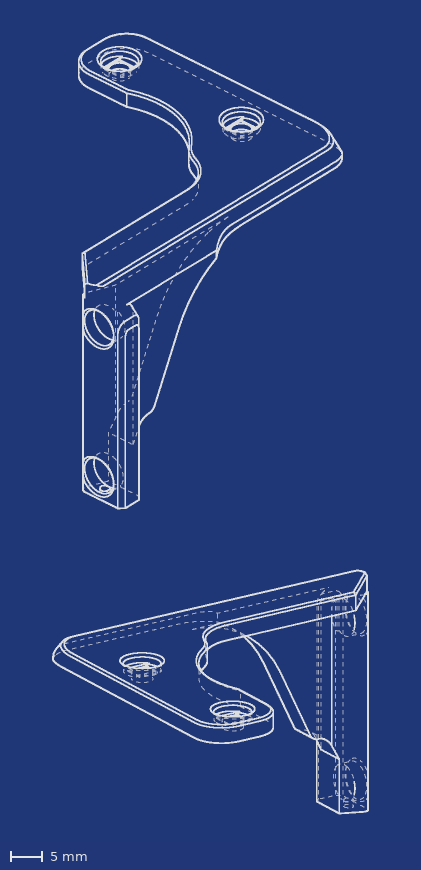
import cadquery as cq
import math

length = 59
width = 52.9
height = 39.7

plate_thickness = 3.0
plate_bottom = height - plate_thickness
top_chamfer = 0.4
corner_radius = 5.0
arm_width = 13.85
arm_front = length - arm_width
leg_left = 38.8
leg_cut = 6.25
leg_straight_end = 30.7
scoop_center = (18.75, 31.25)
scoop_radius = 15.0
bump_radius = 7.5
elbow_radius = 7.5
elbow_center = (leg_left - elbow_radius, leg_straight_end)

wall_inner = 46.1
wall_outer = 49.25
pad_outer = 50.85
pad_end = 24.55
pad_blend_radius = 9.25
gusset_radius = 18.8
gusset_end = 32.75
gusset_angle = math.radians(64.4)
step_height = 13.2
step_back = 8.75
step_radius = 3.0
toe_radius = 1.5

post_depth = 4.9
post_front_left = leg_left + leg_cut
post_tilt = math.radians(22.5)
post_fillet = 1.0
post_chamfer = 0.8

tilt_start_x = post_front_left - post_fillet * math.cos(post_tilt)
tilt_start_y = post_fillet * (1 + math.sin(post_tilt))
tilt_end_y = tilt_start_y + (wall_inner - tilt_start_x) / math.tan(post_tilt)

shoulder_start = 47.45
shoulder_radius = 1.4

screw_centers = [(6.0, 51.2), (32.0, 51.2)]
screw_diameter = 3.4
counterbore_diameter = 6.0
counterbore_depth = 1.5
counterbore_chamfer = 0.5
relief_step = 0.2

pocket_x = 47.75
pocket_heights = [4.1, 32.05]
pocket_diameter = 6.2
pocket_depth = 2.6
pocket_chamfer = 0.4
deep_pocket_depth = 3.0
pocket_step_x = 49.2
drain_diameter = 1.6
drain_height = 1.2
drain_y = 1.75


def tangent_bump():
    """End points of the bump arc that touches both the scoop and the elbow circle."""
    span_x = elbow_center[0] - scoop_center[0]
    span_y = elbow_center[1] - scoop_center[1]
    span = math.hypot(span_x, span_y)
    to_scoop = scoop_radius + bump_radius
    to_elbow = elbow_radius + bump_radius
    turn = math.acos((span**2 + to_scoop**2 - to_elbow**2) / (2 * span * to_scoop))
    direction = math.atan2(span_y, span_x) + turn
    bump_x = scoop_center[0] + to_scoop * math.cos(direction)
    bump_y = scoop_center[1] + to_scoop * math.sin(direction)

    def point_toward_bump(center, radius):
        share = radius / (radius + bump_radius)
        return (
            center[0] + (bump_x - center[0]) * share,
            center[1] + (bump_y - center[1]) * share,
        )

    return point_toward_bump(scoop_center, scoop_radius), point_toward_bump(elbow_center, elbow_radius)


def plan_outline():
    """Outline of the bracket seen along Z, without the post."""
    pad_blend = math.acos(1 - (pad_outer - wall_outer) / pad_blend_radius)
    pad_blend_end = pad_end + pad_blend_radius * math.sin(pad_blend)
    scoop_start_x = scoop_center[0] - math.sqrt(scoop_radius**2 - (arm_front - scoop_center[1]) ** 2)
    bump_start, bump_end = tangent_bump()
    return (
        cq.Workplane("XY")
        .moveTo(post_front_left, 0)
        .lineTo(pad_outer, 0)
        .lineTo(pad_outer, pad_end)
        .radiusArc((wall_outer, pad_blend_end), pad_blend_radius)
        .lineTo(wall_outer, length - corner_radius)
        .radiusArc((wall_outer - corner_radius, length), -corner_radius)
        .lineTo(corner_radius, length)
        .radiusArc((0, length - corner_radius), -corner_radius)
        .lineTo(0, arm_front + corner_radius)
        .radiusArc((corner_radius, arm_front), -corner_radius)
        .lineTo(scoop_start_x, arm_front)
        .radiusArc(bump_start, scoop_radius)
        .radiusArc(bump_end, -bump_radius)
        .radiusArc((leg_left, leg_straight_end), elbow_radius)
        .lineTo(leg_left, leg_cut)
        .close()
    )


def tilt_x(y):
    """X of the tilted left face of the post at the given Y."""
    return tilt_start_x + (y - tilt_start_y) * math.tan(post_tilt)


def side_wall():
    """Gusset wall whose rear edge sweeps down from the plate to the post."""
    sine = math.sin(gusset_angle)
    cosine = math.cos(gusset_angle)
    slope = sine / cosine
    sweep_y = gusset_end - gusset_radius * sine
    sweep_z = plate_bottom - gusset_radius * (1 - cosine)
    toe_y = sweep_y - (sweep_z - step_height) / slope
    step_y = step_back - step_radius * sine
    step_z = step_height - step_radius * (1 - cosine)
    foot_z = step_z - (step_y - post_depth) * slope
    profile = (
        cq.Workplane("YZ", origin=(tilt_start_x, 0, 0))
        .lineTo(post_depth, 0)
        .lineTo(post_depth, foot_z)
        .lineTo(step_y, step_z)
        .radiusArc((step_back, step_height), step_radius)
        .lineTo(toe_y, step_height)
        .lineTo(sweep_y, sweep_z)
        .radiusArc((gusset_end, plate_bottom), gusset_radius)
        .lineTo(gusset_end, height)
        .lineTo(0, height)
        .close()
    )
    wall = profile.extrude(pad_outer - tilt_start_x)
    toe = cq.selectors.NearestToPointSelector((wall_inner, toe_y, step_height))
    footprint = (
        cq.Workplane("XY")
        .moveTo(tilt_x(post_depth), 0)
        .lineTo(tilt_x(post_depth), post_depth)
        .lineTo(wall_inner, tilt_end_y)
        .lineTo(wall_inner, length)
        .lineTo(pad_outer, length)
        .lineTo(pad_outer, 0)
        .close()
        .extrude(height)
    )
    return wall.edges(toe).fillet(toe_radius).intersect(footprint)


def shoulder_envelope(edge_y, radius, inward):
    """Solid bounded by the 45 degree shoulder on +X and the plane at edge_y, with a round between them.

    The solid lies on the side of edge_y given by inward: 1 for +Y, -1 for -Y.
    """
    reach = 2 * length
    far_y = edge_y + inward * reach
    plane = cq.Plane(origin=(shoulder_start, 0, height), xDir=(0, 1, 0), normal=(1, 0, -1))
    section = (
        cq.Workplane(plane)
        .moveTo(far_y, -reach)
        .lineTo(edge_y, -reach)
        .lineTo(edge_y, -radius)
        .radiusArc((edge_y + inward * radius, 0), inward * radius)
        .lineTo(far_y, 0)
        .close()
    )
    return section.extrude(reach, both=True)


def post():
    """Front post with a tilted, rounded left side."""
    solid = (
        cq.Workplane("XY")
        .moveTo(post_front_left, 0)
        .lineTo(width, 0)
        .lineTo(width, post_depth)
        .lineTo(tilt_x(post_depth), post_depth)
        .lineTo(tilt_start_x, tilt_start_y)
        .threePointArc((post_front_left - post_fillet, post_fillet), (post_front_left, 0))
        .close()
        .extrude(plate_bottom)
    )
    return solid.intersect(shoulder_envelope(post_depth, shoulder_radius, -1))


def screw_hole(center):
    """Chamfered counterbore that narrows in a slot and a square to the round hole."""
    x, y = center
    mouth = cq.Workplane("XY", origin=(x, y, height))
    bore = mouth.circle(counterbore_diameter / 2).extrude(-counterbore_depth)
    cone = (
        mouth.circle(counterbore_diameter / 2 + counterbore_chamfer)
        .workplane(offset=-counterbore_chamfer)
        .circle(counterbore_diameter / 2)
        .loft()
    )
    slot = (
        mouth.circle(counterbore_diameter / 2)
        .extrude(-counterbore_depth - relief_step)
        .intersect(mouth.rect(screw_diameter, counterbore_diameter).extrude(-plate_thickness))
    )
    square = mouth.rect(screw_diameter, screw_diameter).extrude(-counterbore_depth - 2 * relief_step)
    hole = mouth.circle(screw_diameter / 2).extrude(-plate_thickness)
    return bore.union(cone).union(slot).union(square).union(hole)


def magnet_pocket(z):
    """Flat-bottomed round pocket with a chamfered mouth."""
    mouth = cq.Workplane("XZ", origin=(pocket_x, 0, z))
    cone = (
        mouth.circle(pocket_diameter / 2 + pocket_chamfer)
        .workplane(offset=-pocket_chamfer)
        .circle(pocket_diameter / 2)
        .loft()
    )
    return mouth.circle(pocket_diameter / 2).extrude(-pocket_depth).union(cone)


def deep_segment(z):
    """Deeper part of a pocket, to the right of its step."""
    mouth = cq.Workplane("XZ", origin=(pocket_x, 0, z))
    right_side = cq.Workplane("XY", origin=(pocket_step_x, 0, 0)).box(
        pocket_diameter, length, height, centered=False
    )
    return mouth.circle(pocket_diameter / 2).extrude(-deep_pocket_depth).intersect(right_side)


plate = plan_outline().extrude(plate_thickness).translate((0, 0, plate_bottom))
wall = side_wall().intersect(plan_outline().extrude(height))
body = plate.union(wall).union(post())
body = body.intersect(shoulder_envelope(length, corner_radius, -1))
body = body.faces(">Z").edges("not <Y").chamfer(top_chamfer)
body = body.intersect(shoulder_envelope(0, shoulder_radius, 1))
body = body.faces(">X").edges("not <Z").chamfer(post_chamfer)

for center in screw_centers:
    body = body.cut(screw_hole(center))

for pocket_z in pocket_heights:
    body = body.cut(magnet_pocket(pocket_z))
body = body.cut(deep_segment(pocket_heights[-1]))

drain = cq.Workplane("XY", origin=(pocket_x, drain_y, 0)).circle(drain_diameter / 2)
body = body.cut(drain.extrude(drain_height))

result = body